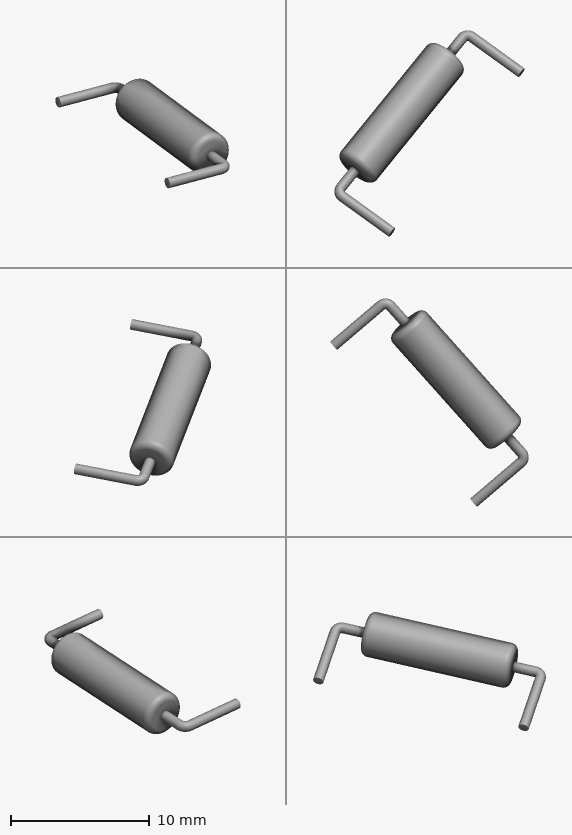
import cadquery as cq

overall_length = 16.13
body_length = 11.07
body_diameter = 3.3
body_edge_radius = 0.48
lead_diameter = 0.77
bend_radius = 0.5
overall_depth = 6.65

leg_drop = overall_depth - body_diameter / 2
leg_x = (overall_length - lead_diameter) / 2
bend_start_x = leg_x - bend_radius


def make_body():
    """Cylinder along X, centred on the origin, with rounded end edges."""
    return (
        cq.Workplane("YZ", origin=(-body_length / 2, 0, 0))
        .circle(body_diameter / 2)
        .extrude(body_length)
        .edges("%CIRCLE")
        .fillet(body_edge_radius)
    )


def make_lead():
    """Round wire from the body centre along +X, bent down to a leg along -Y."""
    path = (
        cq.Workplane("XY")
        .lineTo(bend_start_x, 0)
        .tangentArcPoint((leg_x, -bend_radius), relative=False)
        .lineTo(leg_x, -leg_drop)
    )
    return cq.Workplane("YZ").circle(lead_diameter / 2).sweep(path)


right_lead = make_lead()
left_lead = right_lead.mirror("YZ")
result = make_body().union(right_lead).union(left_lead)